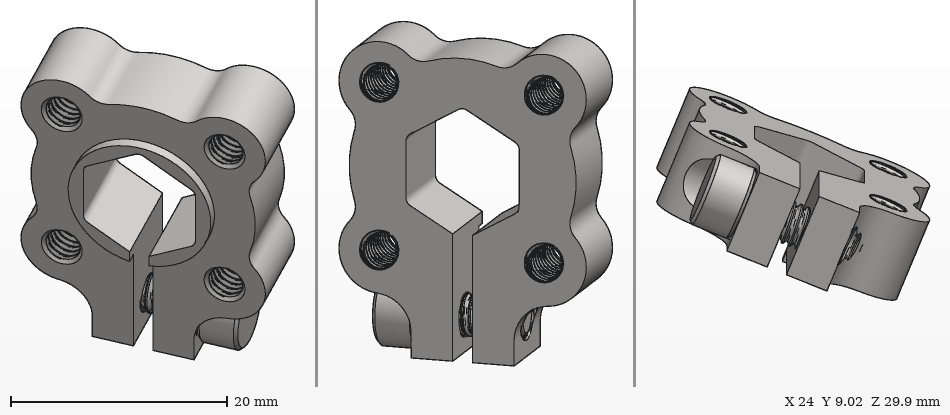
import cadquery as cq
import math

THICKNESS = 8.0
LOBE_OFFSET = 8.0
LOBE_RADIUS = 4.0
DISC_RADIUS = 11.0
LOBE_BLEND = 2.0
LEG_BLEND = 3.5
LEG_HALF_WIDTH = 5.0
BASE_Z = -17.93
SLOT_WIDTH = 1.92
COLLAR_RADIUS = 7.0
COLLAR_HEIGHT = 1.02
HEX_FLATS = 10.98
HEX_CORNER_RADIUS = 0.85

PITCH = 0.7
MAJOR_RADIUS = 2.0
MINOR_RADIUS = 1.68
CREST_WIDTH = 0.15
ROOT_WIDTH = 0.15
FLANK_STEPS = 4
HOLE_CHAMFER = MAJOR_RADIUS - MINOR_RADIUS

HEAD_RADIUS = 3.5
HEAD_HEIGHT = 4.0
HEAD_CHAMFER = 0.33
UNDERHEAD_CHAMFER = 0.33
TIP_RADIUS = 1.25
THREAD_CLEARANCE = 0.03
CLEARANCE_RADIUS = 2.1
SCREW_Y = THICKNESS / 2
SCREW_Z = BASE_Z + HEAD_RADIUS
SCREW_TURN = 120

SELECTION_MARGIN = 0.3

LOBE_CENTRES = [(x, z) for x in (-LOBE_OFFSET, LOBE_OFFSET) for z in (-LOBE_OFFSET, LOBE_OFFSET)]


def cylinder_along_y(x, z, radius, y_start, y_end):
    """Cylinder parallel to Y between two Y positions."""
    return cq.Workplane("XZ", origin=(x, y_end, z)).circle(radius).extrude(y_end - y_start)


def cylinder_along_x(radius, x_start, x_end):
    """Cylinder on the screw axis between two X positions."""
    return cq.Workplane(cq.Solid.makeCylinder(
        radius, x_end - x_start, cq.Vector(x_start, SCREW_Y, SCREW_Z), cq.Vector(1, 0, 0)))


def polar_point(radius, angle):
    """Point on a circle about the origin."""
    return (radius * math.cos(angle), radius * math.sin(angle))


def threaded_rod(length, clearance=0):
    """Right-hand threaded rod along +Z from Z = 0, its radii enlarged by the clearance.

    Its cross-section runs from a crest arc to a root arc along two spiral flanks;
    twisting that section by one turn per pitch makes the thread.
    """
    crest_angle = math.pi * CREST_WIDTH / PITCH
    root_angle = math.pi * (1 - ROOT_WIDTH / PITCH)
    crest_radius = MAJOR_RADIUS + clearance
    root_radius = MINOR_RADIUS + clearance
    flank = []
    for step in range(FLANK_STEPS + 1):
        share = step / FLANK_STEPS
        radius = crest_radius + (root_radius - crest_radius) * share
        flank.append(polar_point(radius, crest_angle + (root_angle - crest_angle) * share))
    opposite_flank = [(x, -y) for x, y in reversed(flank)]
    section = (
        cq.Workplane("XY")
        .moveTo(*opposite_flank[-1])
        .threePointArc((crest_radius, 0), flank[0])
        .spline(flank[1:], includeCurrent=True)
        .threePointArc((-root_radius, 0), opposite_flank[0])
        .spline(opposite_flank[1:], includeCurrent=True)
        .close()
    )
    return section.twistExtrude(length, 360 * length / PITCH)


def screw_thread(x_start, x_end, clearance=0):
    """Threaded rod on the screw axis; every stretch lies on the same helix."""
    turn = SCREW_TURN + 360 * x_start / PITCH
    rod = threaded_rod(x_end - x_start, clearance).rotate((0, 0, 0), (0, 0, 1), turn)
    return rod.rotate((0, 0, 0), (0, 1, 0), 90).translate((x_start, SCREW_Y, SCREW_Z))


def hub_blank():
    """Disc with four lobes and the clamp legs, blended together."""
    disc = cylinder_along_y(0, 0, DISC_RADIUS, 0, THICKNESS)
    for x, z in LOBE_CENTRES:
        disc = disc.union(cylinder_along_y(x, z, LOBE_RADIUS, 0, THICKNESS))
    legs = cq.Workplane("XY").box(
        2 * LEG_HALF_WIDTH, THICKNESS, -BASE_Z, centered=(True, False, False)).translate((0, 0, BASE_Z))
    blank = disc.union(legs)
    lobe_corners = blank.edges("|Y").edges(cq.selectors.BoxSelector(
        (-DISC_RADIUS, -SELECTION_MARGIN, -LOBE_OFFSET),
        (DISC_RADIUS, THICKNESS + SELECTION_MARGIN, DISC_RADIUS)))
    blank = lobe_corners.fillet(LOBE_BLEND)
    leg_corners = blank.edges("|Y").edges(cq.selectors.BoxSelector(
        (-LEG_HALF_WIDTH - SELECTION_MARGIN, -SELECTION_MARGIN, BASE_Z + SELECTION_MARGIN),
        (LEG_HALF_WIDTH + SELECTION_MARGIN, THICKNESS + SELECTION_MARGIN, -LOBE_OFFSET)))
    return leg_corners.fillet(LEG_BLEND)


def threaded_hole():
    """Cutters along Y at X = Z = 0: a chamfered mouth on the front, then the thread to the back."""
    mouth = cq.Workplane(cq.Solid.makeCone(
        MAJOR_RADIUS, MINOR_RADIUS, HOLE_CHAMFER, cq.Vector(0, 0, 0), cq.Vector(0, 1, 0)))
    rod = threaded_rod(THICKNESS).rotate((0, 0, 0), (1, 0, 0), -90)
    return [mouth, rod.translate((0, HOLE_CHAMFER, 0))]


def make_hub():
    """Clamp hub with collar, hexagonal bore, clamp slot, lobe holes and screw hole."""
    hub = hub_blank().union(cylinder_along_y(0, 0, COLLAR_RADIUS, -COLLAR_HEIGHT, THICKNESS))
    total_depth = THICKNESS + COLLAR_HEIGHT
    hexagon = (cq.Workplane("XZ", origin=(0, THICKNESS, 0))
               .transformed(rotate=(0, 0, 30))
               .polygon(6, HEX_FLATS / math.cos(math.pi / 6))
               .extrude(total_depth).edges("|Y").fillet(HEX_CORNER_RADIUS))
    slot = cq.Workplane("XY").box(SLOT_WIDTH, total_depth, -BASE_Z, centered=(True, False, False))
    hub = hub.cut(hexagon).cut(slot.translate((0, -COLLAR_HEIGHT, BASE_Z)))
    for cutter in threaded_hole():
        for x, z in LOBE_CENTRES:
            hub = hub.cut(cutter.translate((x, 0, z)))
    hub = hub.cut(cylinder_along_x(HEAD_RADIUS, LEG_HALF_WIDTH, LOBE_OFFSET + LOBE_RADIUS))
    hub = hub.cut(cylinder_along_x(CLEARANCE_RADIUS, 0, LEG_HALF_WIDTH))
    return hub.cut(screw_thread(-LOBE_OFFSET, 0, THREAD_CLEARANCE))


def make_screw():
    """Clamp screw with a tapered tip and a chamfered cylindrical head."""
    tip_length = MINOR_RADIUS - TIP_RADIUS
    thread_start = tip_length - LEG_HALF_WIDTH
    tip = cq.Workplane(cq.Solid.makeCone(
        TIP_RADIUS, MINOR_RADIUS, tip_length,
        cq.Vector(-LEG_HALF_WIDTH, SCREW_Y, SCREW_Z), cq.Vector(1, 0, 0)))
    head = cylinder_along_x(HEAD_RADIUS, LEG_HALF_WIDTH, LEG_HALF_WIDTH + HEAD_HEIGHT)
    head = head.faces(">X").chamfer(HEAD_CHAMFER).faces("<X").chamfer(UNDERHEAD_CHAMFER)
    return screw_thread(thread_start, LEG_HALF_WIDTH).union(tip).union(head)


hub = make_hub()
screw = make_screw()
result = cq.Compound.makeCompound([hub.solids().val(), screw.solids().val()])